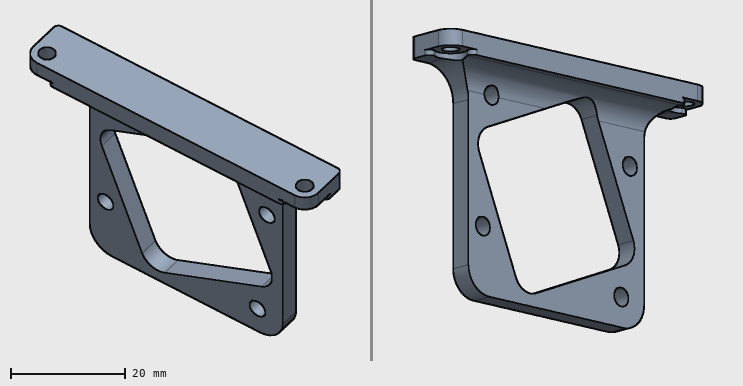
import cadquery as cq
import math

flange_length = 62.0
flange_depth = 10.0
thickness = 3.95
front_corner_radius = 3.0
rear_corner_radius = 1.0
flange_hole_diameter = 3.1

total_height = 45.0
plate_width = 42.0
plate_corner_radius = 4.95
side_fillet_radius = 6.2
front_fillet_radius = 4.65

window_side = 30.3
window_tilt = 22.5
window_corner_radius = 3.7
plate_hole_diameter = 3.4
upper_left_hole = (-15.5, 15.5)
upper_right_hole = (17.55, 8.5)

relief_depth = 1.0
relief_radius = 3.0
relief_edge_radius = 1.0

half_length = flange_length / 2
half_plate = plate_width / 2
window_center_z = half_plate - total_height


def make_flange():
    flange = cq.Workplane("XY").rect(flange_length, flange_depth).extrude(-thickness)
    flange = flange.translate((0, -flange_depth / 2, 0))
    flange = flange.edges("|Z and <Y").fillet(front_corner_radius)
    return flange.edges("|Z and >Y").fillet(rear_corner_radius)


def make_plate():
    """Intersect the flared front outline with the filleted side profile."""
    flare_half = half_plate + side_fillet_radius
    fillet_end_z = -thickness - side_fillet_radius
    quarter_sag = side_fillet_radius * (1 - math.sqrt(0.5))
    flare_mid = (half_plate + quarter_sag, -thickness - quarter_sag)
    outline = (
        cq.Workplane("XZ")
        .moveTo(-half_plate, -total_height)
        .lineTo(half_plate, -total_height)
        .lineTo(half_plate, fillet_end_z)
        .threePointArc(flare_mid, (flare_half, -thickness))
        .lineTo(-flare_half, -thickness)
        .threePointArc((-flare_mid[0], flare_mid[1]), (-half_plate, fillet_end_z))
        .close()
        .extrude(flange_depth)
        .edges("|Y and <Z")
        .fillet(plate_corner_radius)
    )
    front_sag = front_fillet_radius * (1 - math.sqrt(0.5))
    side_profile = (
        cq.Workplane("YZ")
        .moveTo(0, -total_height)
        .lineTo(-thickness, -total_height)
        .lineTo(-thickness, -thickness - front_fillet_radius)
        .threePointArc(
            (-thickness - front_sag, -thickness - front_sag),
            (-thickness - front_fillet_radius, -thickness),
        )
        .lineTo(0, -thickness)
        .close()
        .extrude(half_length, both=True)
    )
    return outline.intersect(side_profile)


def make_window():
    window = cq.Workplane("XZ").rect(window_side, window_side).extrude(flange_depth)
    window = window.edges("|Y").fillet(window_corner_radius)
    window = window.rotate((0, 0, 0), (0, 1, 0), -window_tilt)
    return window.translate((0, 0, window_center_z))


def make_plate_holes():
    points = []
    for x, z in (upper_left_hole, upper_right_hole):
        points += [(x, window_center_z + z), (-x, window_center_z - z)]
    return cq.Workplane("XZ").pushPoints(points).circle(plate_hole_diameter / 2).extrude(flange_depth)


def make_left_relief():
    """Round relief about the left hole, blended into the two outer faces."""
    hole = front_corner_radius
    edge = relief_edge_radius
    blend_distance = relief_radius + edge
    inset = hole - edge
    reach = hole + math.sqrt(blend_distance**2 - inset**2)
    share = relief_radius / blend_distance
    near = hole - inset * share
    far = hole + (reach - hole) * share
    bulge = hole + relief_radius * math.sqrt(0.5)

    half_sweep = (math.pi - math.acos(inset / blend_distance)) / 2
    blend_x = reach - edge * math.sin(half_sweep)
    blend_y = edge - edge * math.cos(half_sweep)
    return (
        cq.Workplane("XY", origin=(-half_length, -flange_depth, relief_depth - thickness))
        .lineTo(reach, 0)
        .threePointArc((blend_x, blend_y), (far, near))
        .threePointArc((bulge, bulge), (near, far))
        .threePointArc((blend_y, blend_x), (0, reach))
        .close()
        .extrude(-total_height)
    )


def make_flange_holes():
    hole_x = half_length - front_corner_radius
    hole_y = front_corner_radius - flange_depth
    points = [(-hole_x, hole_y), (hole_x, hole_y)]
    return cq.Workplane("XY").pushPoints(points).circle(flange_hole_diameter / 2).extrude(-total_height)


left_relief = make_left_relief()
result = make_flange().union(make_plate())
result = result.cut(make_window()).cut(make_plate_holes()).cut(make_flange_holes())
result = result.cut(left_relief).cut(left_relief.mirror("YZ"))